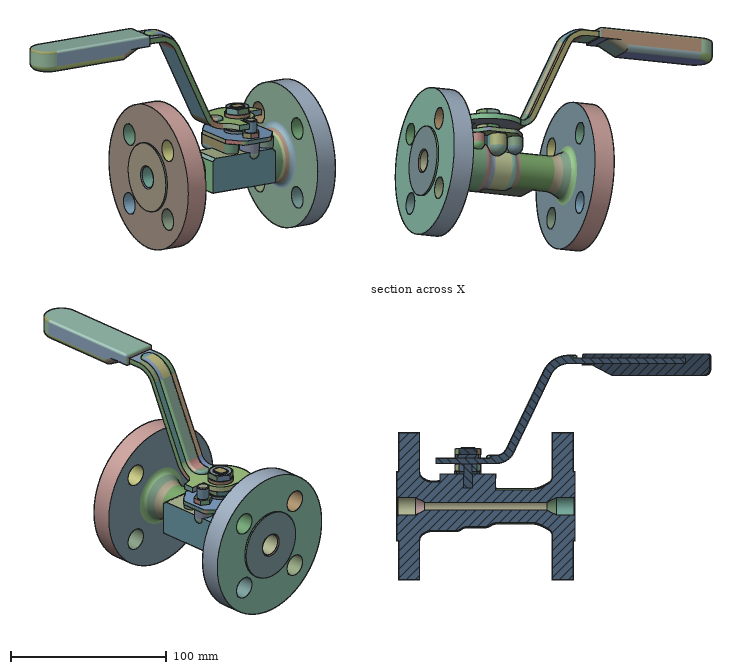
import cadquery as cq
import math


flange_radius = 95 / 2
flange_thickness = 13.6
raised_face_radius = 45 / 2
raised_face_height = 1.2
bolt_hole_diameter = 14
bolt_circle_diameter = 65
back_face_y = 45.8
front_face_y = -69.0
back_flange_inner_y = back_face_y - raised_face_height - flange_thickness
front_flange_inner_y = front_face_y + raised_face_height + flange_thickness

chamber_radius = 32.8 / 2
waist_radius = 27.8 / 2
neck_radius = 23 / 2
hub_cone_angle = math.radians(27)
hub_flange_fillet = 4.4
back_hub_length = 6.6
back_hub_cone_length = 2.3
front_hub_length = 12.6
front_hub_cone_length = 4.7
chamber_end_y = 8.0
waist_start_y = 0.7
waist_end_y = -11.0
neck_start_y = -18.3

port_mouth_radius = 15.2 / 2
port_radius = 13.7 / 2
port_depth = 12
throat_radius = 9.59 / 2
throat_cone_length = 6

pad_top_z = 20.8
pad_thickness = 2.7
pad_half_width = 24.1
pad_half_length = 18.0
pad_corner_x = 13.8
pad_corner_y = 10.0
pad_corner_fillet = 4
pad_web_half_width = 11

corner_boss_offset = 13.3
corner_boss_radius = 9.41 / 2
corner_boss_center_z = 12.1
side_boss_x = 16
side_boss_radius = 11.12 / 2
side_boss_center_z = 10.3
tapped_hole_radius = 4.92 / 2
tapped_hole_depth = 9

block_x = 20.3
block_back_y = 16.0
block_front_y = -31.7
block_half_height = 11.5
block_chamfer = 2

stem_radius = 5
stem_half_flat = 4.1
stem_bottom_z = 12
stem_chamfer = 0.8
gland_radius = 17.1 / 2
gland_height = 1.7
lever_bottom_z = 27.4
nut_corner_diameter = 16.8
nut_chamfer_radius = 7.2
washer_radius = 16.4 / 2
washer_height = 2.3
top_nut_height = 4.0
stem_protrusion = 0.4

bolt_head_flats = 10.2
bolt_head_height = 3.3
bolt_post_radius = 7.92 / 2
bolt_top_z = 32
bolt_post_chamfer = 0.6

lever_thickness = 3.6
lever_top_z = lever_bottom_z + lever_thickness
lever_disc_radius = 21
lever_inner_radius = 10.9
lever_step_x = -3.8
lever_notch_y = -4.3
lever_tail_y = -11.7
lever_tail_arc_point = (15, -13.7)
arm_half_width = 9.5
arm_neck_half_width = 11.2
arm_neck_blend_bulge = 0.5
lower_bend_y = -18.0
lower_bend_radius = 9.2
upper_bend_radius = 16.2
arm_angle = math.radians(64.4)
arm_top_z = 95.4
neck_blend_end_y = -26

rib_half_width = 10.3 / 2
rib_height = 1.8
rib_root_depth = 1
rib_start_y = -11.9
rib_end_y = -70.3
rib_edge_fillet = 1.6

grip_radius = 23 / 2
grip_start_y = -73.5
grip_tip_y = -156.2
grip_top_z = 98.0
grip_bottom_z = 84.0
grip_nose_z = 90.9
grip_nose_end_y = -79.5
grip_slope_end_y = -92.6
grip_top_fillet = 1.5
grip_nose_corner_fillet = 1.2
grip_bottom_fillet = 4
arm_tip_y = -140


def smooth_step(outline, start, end):
    """Add an S-shaped step of two tangent arcs, starting and ending along the axis."""
    (r0, y0), (r1, y1) = start, end
    middle = ((r0 + r1) / 2, (y0 + y1) / 2)
    chord = math.hypot(r1 - r0, y1 - y0) / 2
    turn = math.atan2(abs(r1 - r0), abs(y1 - y0))
    sag = chord / 2 * math.tan(turn / 2)
    normal_r = math.cos(turn) * sag
    normal_y = math.sin(turn) * sag
    first = ((r0 + middle[0]) / 2 + normal_r, (y0 + middle[1]) / 2 - normal_y)
    second = ((r1 + middle[0]) / 2 - normal_r, (y1 + middle[1]) / 2 + normal_y)
    return outline.threePointArc(first, middle).threePointArc(second, end)


def hub_points(pipe_radius, flange_y, side, length, cone_length):
    """Points of a hub from its pipe end to the flange; side is +1 if the flange lies toward +Y."""
    fillet_run = hub_flange_fillet * (1 - math.sin(hub_cone_angle))
    bend_run = length - cone_length - fillet_run
    bend_radius = bend_run / math.sin(hub_cone_angle)
    half_angle = hub_cone_angle / 2
    cone_start = pipe_radius + bend_radius * (1 - math.cos(hub_cone_angle))
    cone_end = cone_start + cone_length * math.tan(hub_cone_angle)
    fillet_end = cone_end + hub_flange_fillet * math.cos(hub_cone_angle)
    fillet_mid_angle = (hub_cone_angle + math.pi / 2) / 2
    pipe_end_y = flange_y - side * length
    bend_mid_y = pipe_end_y + side * bend_radius * math.sin(half_angle)
    fillet_mid_y = flange_y - side * hub_flange_fillet * (1 - math.sin(fillet_mid_angle))
    return [
        (pipe_radius, pipe_end_y),
        (pipe_radius + bend_radius * (1 - math.cos(half_angle)), bend_mid_y),
        (cone_start, pipe_end_y + side * bend_run),
        (cone_end, flange_y - side * fillet_run),
        (fillet_end - hub_flange_fillet * math.cos(fillet_mid_angle), fillet_mid_y),
        (fillet_end, flange_y),
    ]


def make_pipe():
    """Revolved outside of the body with both flanges."""
    back = hub_points(chamber_radius, back_flange_inner_y, 1, back_hub_length, back_hub_cone_length)
    front = hub_points(neck_radius, front_flange_inner_y, -1, front_hub_length, front_hub_cone_length)
    outline = (
        cq.Workplane("XY")
        .moveTo(0, back_face_y)
        .lineTo(raised_face_radius, back_face_y)
        .lineTo(raised_face_radius, back_face_y - raised_face_height)
        .lineTo(flange_radius, back_face_y - raised_face_height)
        .lineTo(flange_radius, back_flange_inner_y)
        .lineTo(*back[5])
        .threePointArc(back[4], back[3])
        .lineTo(*back[2])
        .threePointArc(back[1], back[0])
        .lineTo(chamber_radius, chamber_end_y)
    )
    outline = smooth_step(outline, (chamber_radius, chamber_end_y), (waist_radius, waist_start_y))
    outline = outline.lineTo(waist_radius, waist_end_y)
    outline = smooth_step(outline, (waist_radius, waist_end_y), (neck_radius, neck_start_y))
    outline = (
        outline.lineTo(*front[0])
        .threePointArc(front[1], front[2])
        .lineTo(*front[3])
        .threePointArc(front[4], front[5])
        .lineTo(flange_radius, front_flange_inner_y)
        .lineTo(flange_radius, front_face_y + raised_face_height)
        .lineTo(raised_face_radius, front_face_y + raised_face_height)
        .lineTo(raised_face_radius, front_face_y)
        .lineTo(0, front_face_y)
        .close()
    )
    return outline.revolve(360, (0, 0, 0), (0, 1, 0))


def make_boss_bar(y, half_span, radius, center_z):
    """Two round bosses with ball ends under the pad, joined by a bar that is round underneath."""
    plan = cq.Workplane("XY", origin=(0, y, center_z)).slot2D(2 * (half_span + radius), 2 * radius)
    bar = plan.extrude(pad_top_z - pad_thickness - center_z)
    roller = cq.Workplane("YZ", origin=(-half_span, y, center_z)).circle(radius).extrude(2 * half_span)
    for x in (-half_span, half_span):
        ball = cq.Workplane("XY", origin=(x, y, center_z)).sphere(radius)
        bar = bar.union(ball)
    return bar.union(roller)


def make_pad():
    """Eight-sided plate on ball-ended bosses, with webs joining it to the pipe."""
    pad_bottom_z = pad_top_z - pad_thickness
    pad = (
        cq.Workplane("XY", origin=(0, 0, pad_bottom_z))
        .polyline([
            (pad_half_width, pad_corner_y), (pad_corner_x, pad_half_length),
            (-pad_corner_x, pad_half_length), (-pad_half_width, pad_corner_y),
            (-pad_half_width, -pad_corner_y), (-pad_corner_x, -pad_half_length),
            (pad_corner_x, -pad_half_length), (pad_half_width, -pad_corner_y),
        ])
        .close()
        .extrude(pad_thickness)
        .edges("|Z and (>X or <X)")
        .fillet(pad_corner_fillet)
    )
    web_length = 2 * corner_boss_offset
    web = cq.Workplane("XY").box(2 * pad_web_half_width, web_length, pad_top_z, centered=(True, True, False))
    pad = pad.union(web)
    for y in (-corner_boss_offset, corner_boss_offset):
        pad = pad.union(make_boss_bar(y, corner_boss_offset, corner_boss_radius, corner_boss_center_z))
    return pad.union(make_boss_bar(0, side_boss_x, side_boss_radius, side_boss_center_z))


def make_marking_block():
    """Flat-topped block on the +X side with chamfered upper ends."""
    return (
        cq.Workplane("XY")
        .box(block_x, block_back_y - block_front_y, 2 * block_half_height, centered=(False, False, True))
        .translate((0, block_front_y, 0))
        .edges("|X and >Z")
        .chamfer(block_chamfer)
    )


def make_bore():
    """Through bore with a wider port and a cone at each end."""
    middle_y = (back_face_y + front_face_y) / 2
    half = (back_face_y - front_face_y) / 2
    port_end = half - port_depth
    mouth_cone = port_mouth_radius - port_radius
    return (
        cq.Workplane("XY")
        .polyline([
            (0, half), (port_mouth_radius, half), (port_radius, half - mouth_cone),
            (port_radius, port_end), (throat_radius, port_end - throat_cone_length),
            (throat_radius, throat_cone_length - port_end), (port_radius, -port_end),
            (port_radius, mouth_cone - half), (port_mouth_radius, -half), (0, -half),
        ])
        .close()
        .revolve(360, (0, 0, 0), (0, 1, 0))
        .translate((0, middle_y, 0))
    )


def make_body():
    """Flanged pipe with its pad, marking block, bore and holes."""
    body = make_pipe().union(make_pad())
    body = body.union(make_marking_block())
    body = body.cut(make_bore())
    for y_from in (back_face_y, front_flange_inner_y):
        holes = (
            cq.Workplane("XZ", origin=(0, y_from, 0))
            .polarArray(bolt_circle_diameter / 2, 45, 360, 4)
            .circle(bolt_hole_diameter / 2)
            .extrude(flange_thickness + raised_face_height)
        )
        body = body.cut(holes)
    tapped_holes = (
        cq.Workplane("XY", origin=(0, 0, pad_top_z))
        .pushPoints([(-side_boss_x, 0), (side_boss_x, 0)])
        .circle(tapped_hole_radius)
        .extrude(-tapped_hole_depth)
    )
    stem_pocket = cq.Workplane("XY", origin=(0, 0, stem_bottom_z)).circle(stem_radius).extrude(pad_top_z)
    return body.cut(tapped_holes).cut(stem_pocket)


lower_nut_z = pad_top_z + gland_height
washer_z = lever_top_z
top_nut_z = washer_z + washer_height
stem_top_z = top_nut_z + top_nut_height + stem_protrusion


def make_stem():
    """Round stem; the end above the lower nut has two flats."""
    stem = (
        cq.Workplane("XY", origin=(0, 0, stem_bottom_z))
        .circle(stem_radius)
        .extrude(stem_top_z - stem_bottom_z)
    )
    flats = (
        cq.Workplane("XY", origin=(0, 0, lever_bottom_z))
        .rect(2 * stem_half_flat, 4 * stem_radius)
        .extrude(stem_top_z)
    )
    shank = cq.Workplane("XY").circle(2 * stem_radius).extrude(lever_bottom_z)
    return stem.intersect(flats.union(shank)).faces(">Z").chamfer(stem_chamfer)


stem = make_stem()


def make_nut(bottom_z, height, both_ends):
    """Hexagon nut with two flats facing +X and -X and cone-chamfered ends."""
    nut = (
        cq.Workplane("XY", origin=(0, 0, bottom_z))
        .transformed(rotate=(0, 0, 90))
        .polygon(6, nut_corner_diameter)
        .extrude(height)
    )
    corner_radius = nut_corner_diameter / 2
    drop = (corner_radius - nut_chamfer_radius) / 2
    envelope = cq.Workplane("XY", origin=(0, 0, bottom_z)).circle(corner_radius).extrude(height)
    ends = envelope.faces(">Z or <Z") if both_ends else envelope.faces(">Z")
    envelope = ends.edges().chamfer(drop, corner_radius - nut_chamfer_radius)
    return nut.intersect(envelope).cut(stem)


def make_ring(bottom_z, height, radius):
    """Flat ring around the stem."""
    return cq.Workplane("XY", origin=(0, 0, bottom_z)).circle(radius).extrude(height).cut(stem)


def make_stop_bolt():
    """Threaded shank, hexagon head and a round post that limits the lever swing."""
    shank = (
        cq.Workplane("XY", origin=(side_boss_x, 0, pad_top_z - tapped_hole_depth))
        .circle(tapped_hole_radius)
        .extrude(tapped_hole_depth)
    )
    head = (
        cq.Workplane("XY", origin=(side_boss_x, 0, pad_top_z))
        .transformed(rotate=(0, 0, 90))
        .polygon(6, bolt_head_flats / math.cos(math.pi / 6))
        .extrude(bolt_head_height)
    )
    post = (
        cq.Workplane("XY", origin=(side_boss_x, 0, pad_top_z))
        .circle(bolt_post_radius)
        .extrude(bolt_top_z - pad_top_z)
        .faces(">Z")
        .chamfer(bolt_post_chamfer)
    )
    return shank.union(head).union(post)


sin_a = math.sin(arm_angle)
cos_a = math.cos(arm_angle)
lower_bend_center = (lower_bend_y, lever_top_z + lower_bend_radius)
slope_start_z = lower_bend_center[1] - lower_bend_radius * cos_a
slope_end_z = arm_top_z - upper_bend_radius * (1 - cos_a)
slope_start_y = lower_bend_y - lower_bend_radius * sin_a
slope_end_y = slope_start_y - (slope_end_z - slope_start_z) / math.tan(arm_angle)
upper_bend_center = (slope_end_y - upper_bend_radius * sin_a, arm_top_z - upper_bend_radius)


def bend_points(offset):
    """Points of the bent path, moved by offset away from the lever's upper surface."""
    low = lower_bend_radius - offset
    high = upper_bend_radius + offset

    def on_low(angle):
        return (lower_bend_center[0] - low * math.sin(angle), lower_bend_center[1] - low * math.cos(angle))

    def on_high(angle):
        return (upper_bend_center[0] + high * math.sin(angle), upper_bend_center[1] + high * math.cos(angle))

    return [on_low(0), on_low(arm_angle / 2), on_low(arm_angle),
            on_high(arm_angle), on_high(arm_angle / 2), on_high(0)]


def bent_band(bottom_offset, top_offset, start_y, end_y, half_width):
    """Strip that follows the bent path between two offsets, extruded across X."""
    under = bend_points(bottom_offset)
    over = bend_points(top_offset)
    return (
        cq.Workplane("YZ", origin=(-half_width, 0, 0))
        .moveTo(start_y, under[0][1])
        .lineTo(*under[0])
        .threePointArc(under[1], under[2])
        .lineTo(*under[3])
        .threePointArc(under[4], under[5])
        .lineTo(end_y, under[5][1])
        .lineTo(end_y, over[5][1])
        .lineTo(*over[5])
        .threePointArc(over[4], over[3])
        .lineTo(*over[2])
        .threePointArc(over[1], over[0])
        .lineTo(start_y, over[0][1])
        .close()
        .extrude(2 * half_width)
    )


def make_lever():
    """Bent lever with a notched disc around the stem and a rounded stiffening rib on top."""
    disc_end_x = math.sqrt(lever_disc_radius ** 2 - lower_bend_y ** 2)
    half = math.sqrt(0.5)
    blend_x = arm_half_width + arm_neck_blend_bulge
    blend_y = (lower_bend_y + neck_blend_end_y) / 2
    plan = (
        cq.Workplane("XY")
        .moveTo(lever_step_x, math.sqrt(lever_disc_radius ** 2 - lever_step_x ** 2))
        .threePointArc((-lever_disc_radius, 0), (-disc_end_x, lower_bend_y))
        .lineTo(-arm_neck_half_width, lower_bend_y)
        .threePointArc((-blend_x, blend_y), (-arm_half_width, neck_blend_end_y))
        .lineTo(-arm_half_width, arm_tip_y)
        .lineTo(arm_half_width, arm_tip_y)
        .lineTo(arm_half_width, neck_blend_end_y)
        .threePointArc((blend_x, blend_y), (arm_neck_half_width, lower_bend_y))
        .threePointArc(lever_tail_arc_point, (lever_disc_radius, lever_tail_y))
        .lineTo(lever_disc_radius, lever_notch_y)
        .lineTo(lever_inner_radius, lever_notch_y)
        .lineTo(lever_inner_radius, 0)
        .threePointArc((lever_inner_radius * half, lever_inner_radius * half), (0, lever_inner_radius))
        .lineTo(lever_step_x, lever_inner_radius)
        .close()
        .extrude(grip_top_z)
    )
    strip = bent_band(-lever_thickness, 0, lever_disc_radius, arm_tip_y, lever_disc_radius)
    rib_plan = (
        cq.Workplane("XY")
        .center(0, (rib_start_y + rib_end_y) / 2)
        .slot2D(rib_start_y - rib_end_y, 2 * rib_half_width, 90)
        .extrude(2 * grip_top_z)
    )
    rib_band = bent_band(-rib_root_depth, rib_height, 0, grip_start_y, lever_disc_radius)
    rib = rib_band.intersect(rib_plan)
    top_edges = [edge for edge in rib.edges("not |X").vals() if edge.distance(strip.val()) > rib_height / 2]
    rib = rib.newObject(top_edges).fillet(rib_edge_fillet)
    return strip.intersect(plan).union(rib).cut(stem)


lever = make_lever()


def make_grip():
    """Plastic sleeve with a round tip and a stepped-up nose."""
    side = (
        cq.Workplane("YZ", origin=(-grip_radius, 0, 0))
        .polyline([
            (grip_start_y, grip_top_z), (grip_tip_y, grip_top_z), (grip_tip_y, grip_bottom_z),
            (grip_slope_end_y, grip_bottom_z), (grip_nose_end_y, grip_nose_z), (grip_start_y, grip_nose_z),
        ])
        .close()
        .extrude(2 * grip_radius)
    )
    tip_cylinder = (
        cq.Workplane("XY", origin=(0, grip_tip_y + grip_radius, 0)).circle(grip_radius).extrude(grip_top_z)
    )
    straight = (
        cq.Workplane("XY")
        .box(2 * grip_radius, grip_start_y - grip_tip_y - grip_radius, grip_top_z, centered=(True, False, False))
        .translate((0, grip_tip_y + grip_radius, 0))
    )
    grip = side.intersect(tip_cylinder.union(straight))
    under_edges = grip.faces("<Z or (#X and (not >Z) and (not |Z) and (not |Y))").edges("not |X")
    grip = under_edges.fillet(grip_bottom_fillet)
    grip = grip.faces(">Y").edges("|Z").fillet(grip_nose_corner_fillet)
    grip = grip.faces(">Z").edges().fillet(grip_top_fillet)
    return grip.cut(lever)


body = make_body()
gland = make_ring(pad_top_z, gland_height, gland_radius)
lower_nut = make_nut(lower_nut_z, lever_bottom_z - lower_nut_z, True)
washer = make_ring(washer_z, washer_height, washer_radius)
top_nut = make_nut(top_nut_z, top_nut_height, False)
stop_bolt = make_stop_bolt()
grip = make_grip()

result = cq.Compound.makeCompound([
    body.val(), stem.val(), gland.val(), lower_nut.val(), washer.val(),
    top_nut.val(), stop_bolt.val(), lever.val(), grip.val(),
])